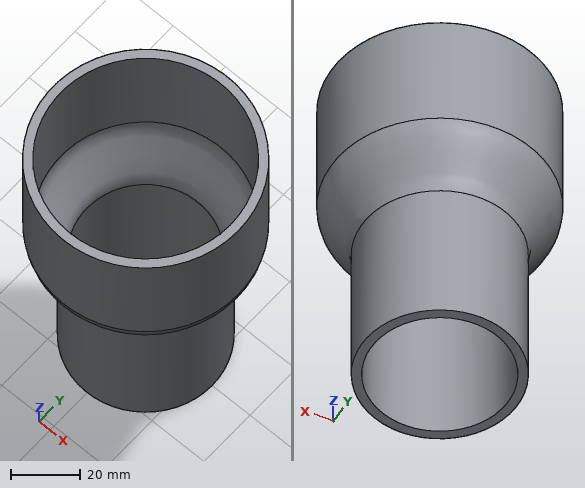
import cadquery as cq

socket_outer_diameter = 71.0
socket_inner_diameter = 65.0
spigot_outer_diameter = 51.0
spigot_inner_diameter = 45.0

total_height = 110.0
spigot_length = 50.0
socket_length = 40.0
transition_length = total_height - spigot_length - socket_length
transition_base = spigot_length
socket_base = transition_base + transition_length


def make_tube(outer_diameter, inner_diameter, length, base):
    """Plain round tube standing at height base."""
    return (
        cq.Workplane("XY", origin=(0, 0, base))
        .circle(outer_diameter / 2)
        .circle(inner_diameter / 2)
        .extrude(length)
    )


def s_curve(lower_radius, upper_radius):
    """Control points of a cubic S-curve that is parallel to Z at both ends."""
    handle = transition_length / 3
    return [
        (lower_radius, transition_base),
        (lower_radius, transition_base + handle),
        (upper_radius, socket_base - handle),
        (upper_radius, socket_base),
    ]


def make_transition():
    """Tapering wall that joins the spigot to the socket."""
    outer_curve = s_curve(spigot_outer_diameter / 2, socket_outer_diameter / 2)
    inner_curve = s_curve(spigot_inner_diameter / 2, socket_inner_diameter / 2)
    return (
        cq.Workplane("XZ")
        .moveTo(*outer_curve[0])
        .bezier(outer_curve)
        .lineTo(*inner_curve[-1])
        .bezier(inner_curve[::-1])
        .close()
        .revolve(360, (0, 0, 0), (0, 1, 0))
    )


spigot = make_tube(spigot_outer_diameter, spigot_inner_diameter, spigot_length, 0)
transition = make_transition()
socket = make_tube(socket_outer_diameter, socket_inner_diameter, socket_length, socket_base)

result = cq.Compound.makeCompound([spigot.val(), transition.val(), socket.val()])